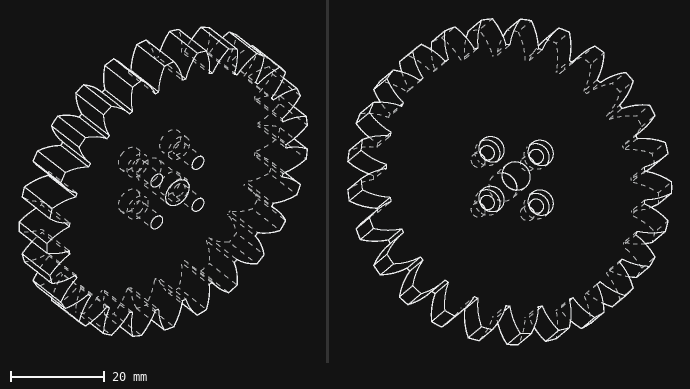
import cadquery as cq
import math

THICKNESS = 10.0
TOOTH_COUNT = 25
TIP_RADIUS = 34.65
ROOT_RADIUS = 28.8
FLANK_MID_RADIUS = 32.0

TIP_HALF_WIDTH = 1.25
FLANK_MID_HALF_WIDTH = 2.5
ROOT_HALF_WIDTH = 3.2

BORE_DIAMETER = 6.2
BOLT_SPACING = 10.95
BOLT_DIAMETER = 3.1
COUNTERBORE_DIAMETER = 5.6
COUNTERBORE_DEPTH = 3.1

TOOTH_PITCH = 2 * math.pi / TOOTH_COUNT
FIRST_TOOTH_ANGLE = math.pi


def tooth_point(radius, half_width, tooth_angle):
    """Point on a flank; a negative half width gives the flank on the clockwise side."""
    angle = tooth_angle + math.asin(half_width / radius)
    return radius * math.cos(angle), radius * math.sin(angle)


def gear_outline(plane):
    """Closed outline of curved flanks, rounded tips and root lands."""
    start = tooth_point(ROOT_RADIUS, -ROOT_HALF_WIDTH, FIRST_TOOTH_ANGLE)
    outline = cq.Workplane(plane).moveTo(*start)
    for index in range(TOOTH_COUNT):
        angle = FIRST_TOOTH_ANGLE + index * TOOTH_PITCH
        gap_angle = angle + TOOTH_PITCH / 2
        next_root = tooth_point(ROOT_RADIUS, -ROOT_HALF_WIDTH, angle + TOOTH_PITCH)
        outline = (
            outline
            .threePointArc(
                tooth_point(FLANK_MID_RADIUS, -FLANK_MID_HALF_WIDTH, angle),
                tooth_point(TIP_RADIUS, -TIP_HALF_WIDTH, angle),
            )
            .threePointArc(
                tooth_point(TIP_RADIUS, 0, angle),
                tooth_point(TIP_RADIUS, TIP_HALF_WIDTH, angle),
            )
            .threePointArc(
                tooth_point(FLANK_MID_RADIUS, FLANK_MID_HALF_WIDTH, angle),
                tooth_point(ROOT_RADIUS, ROOT_HALF_WIDTH, angle),
            )
            .threePointArc(tooth_point(ROOT_RADIUS, 0, gap_angle), next_root)
        )
    return outline.close()


def bolt_cylinders(plane, diameter, depth):
    """Cylinders at the four bolt positions, reaching in from the -X face."""
    return (
        cq.Workplane(plane)
        .rect(BOLT_SPACING, BOLT_SPACING, forConstruction=True)
        .vertices()
        .circle(diameter / 2)
        .extrude(depth)
    )


counterbored_face = cq.Plane.YZ(origin=(-THICKNESS / 2, 0, 0))

gear = gear_outline(counterbored_face).extrude(THICKNESS)
bore = cq.Workplane(counterbored_face).circle(BORE_DIAMETER / 2).extrude(THICKNESS)
bolt_holes = bolt_cylinders(counterbored_face, BOLT_DIAMETER, THICKNESS)
counterbores = bolt_cylinders(counterbored_face, COUNTERBORE_DIAMETER, COUNTERBORE_DEPTH)

result = gear.cut(bore).cut(bolt_holes).cut(counterbores)